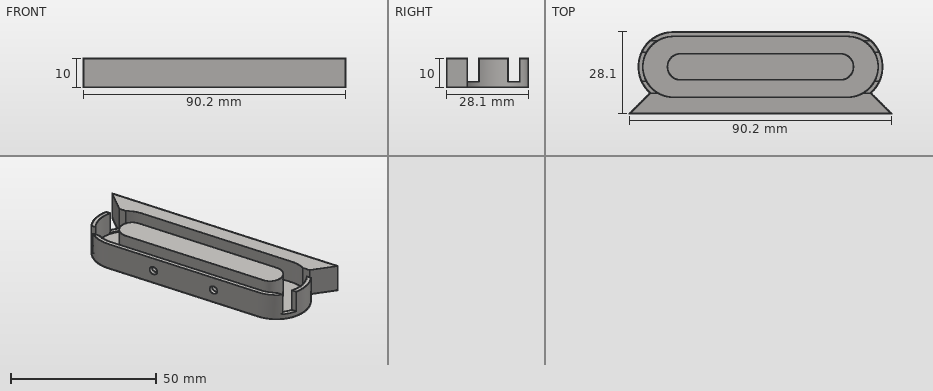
import cadquery as cq

length = 90.2
height = 10.0
floor_thickness = 1.5

tray_radius = 12.0
end_spacing = 60.05
wall = 1.5
pocket_radius = tray_radius - wall

island_radius = 4.5
island_length = 64.0

foot_depth = 7.1
foot_front = -16.1
foot_back = foot_front + foot_depth

slot_inner = 5.05
slot_outer = -foot_back
slot_bottom = 2.0

hole_diameter = 3.0
hole_spacing = 24.0
hole_height = height / 2


def stadium(total_length, radius, bottom, top):
    """Upright block with semicircular ends."""
    return (
        cq.Workplane("XY", origin=(0, 0, bottom))
        .slot2D(total_length, 2 * radius)
        .extrude(top - bottom)
    )


def foot():
    half_front = length / 2
    half_back = half_front - foot_depth
    outline = [
        (-half_front, foot_front),
        (half_front, foot_front),
        (half_back, foot_back),
        (-half_back, foot_back),
    ]
    return cq.Workplane("XY").polyline(outline).close().extrude(height)


def end_slots(side):
    """Slots that cut both end walls on one side (+1 or -1) of the X axis."""
    slot_width = slot_outer - slot_inner
    slot_middle = side * (slot_outer + slot_inner) / 2
    cutter = cq.Workplane("XY", origin=(0, slot_middle, slot_bottom))
    return cutter.rect(length, slot_width).extrude(height)


def wall_holes():
    return (
        cq.Workplane("XZ", origin=(0, 0, hole_height))
        .pushPoints([(-hole_spacing / 2, 0), (hole_spacing / 2, 0)])
        .circle(hole_diameter / 2)
        .extrude(-2 * tray_radius)
    )


tray_length = end_spacing + 2 * tray_radius
pocket_length = end_spacing + 2 * pocket_radius

result = stadium(tray_length, tray_radius, 0, height)
for side in (-1, 1):
    result = result.cut(end_slots(side))
result = result.union(foot())
result = result.cut(stadium(pocket_length, pocket_radius, floor_thickness, height))
result = result.cut(wall_holes())
result = result.union(stadium(island_length, island_radius, 0, height))